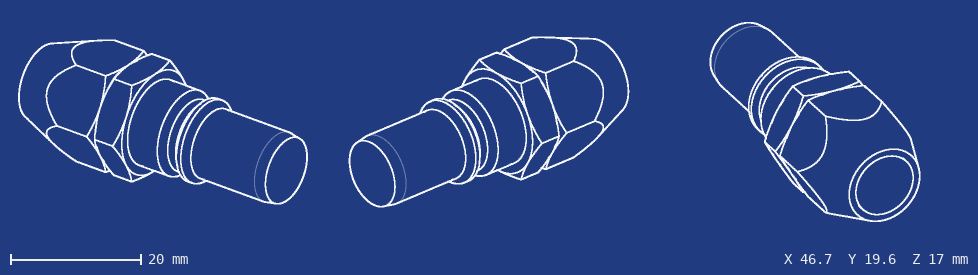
import cadquery as cq
import math

hex_across_flats = 17.0
flat_radius = hex_across_flats / 2
corner_radius = flat_radius / math.cos(math.radians(30))
corner_chamfer_angle = 30.0

total_length = 46.7
joint_x = 16.5
nut_end_x = 21.5
collar_edge_x = 27.2
ring_start_x = 29.85
ring_crest_start_x = 30.7
ring_crest_end_x = 31.5
ring_end_x = 32.65
tip_length = 1.9

cone_front_diameter = 12.35
bore_diameter = 10.0
collar_diameter = 14.0
groove_diameter = 11.7
ring_diameter = 13.6
tube_diameter = 11.4
tip_diameter = 10.75

cone_angle = 20.0
bore_depth = joint_x


def revolve_about_x(points):
    """Revolve an (x, radius) outline about the X axis."""
    return cq.Workplane("XY").polyline(points).close().revolve(360, (0, 0, 0), (1, 0, 0))


def hex_prism(start_x, end_x):
    return (
        cq.Workplane("YZ", origin=(start_x, 0, 0))
        .polygon(6, 2 * corner_radius)
        .extrude(end_x - start_x)
    )


chamfer_length = (corner_radius - flat_radius) * math.tan(math.radians(corner_chamfer_angle))


def clamping_nut():
    """Front hexagon, trimmed by a long cone in front and a corner chamfer behind."""
    cone_front_radius = cone_front_diameter / 2
    cone_end_x = (corner_radius - cone_front_radius) / math.tan(math.radians(cone_angle))
    envelope = revolve_about_x([
        (0, 0),
        (0, cone_front_radius),
        (cone_end_x, corner_radius),
        (joint_x - chamfer_length, corner_radius),
        (joint_x, flat_radius),
        (joint_x, 0),
    ])
    return hex_prism(0, joint_x).intersect(envelope)


def body_hexagon():
    """Short hexagon with its corners chamfered on both ends."""
    envelope = revolve_about_x([
        (joint_x, 0),
        (joint_x, flat_radius),
        (joint_x + chamfer_length, corner_radius),
        (nut_end_x - chamfer_length, corner_radius),
        (nut_end_x, flat_radius),
        (nut_end_x, 0),
    ])
    return hex_prism(joint_x, nut_end_x).intersect(envelope)


def plug():
    """Collar, groove, locking ring and tapered tube."""
    collar_radius = collar_diameter / 2
    groove_radius = groove_diameter / 2
    ring_radius = ring_diameter / 2
    tube_radius = tube_diameter / 2
    groove_start_x = collar_edge_x + collar_radius - groove_radius
    return revolve_about_x([
        (joint_x, 0),
        (joint_x, collar_radius),
        (collar_edge_x, collar_radius),
        (groove_start_x, groove_radius),
        (ring_start_x, groove_radius),
        (ring_crest_start_x, ring_radius),
        (ring_crest_end_x, ring_radius),
        (ring_end_x, tube_radius),
        (total_length - tip_length, tube_radius),
        (total_length, tip_diameter / 2),
        (total_length, 0),
    ])


bore = cq.Workplane("YZ").circle(bore_diameter / 2).extrude(bore_depth)

result = clamping_nut().union(body_hexagon()).union(plug()).cut(bore)